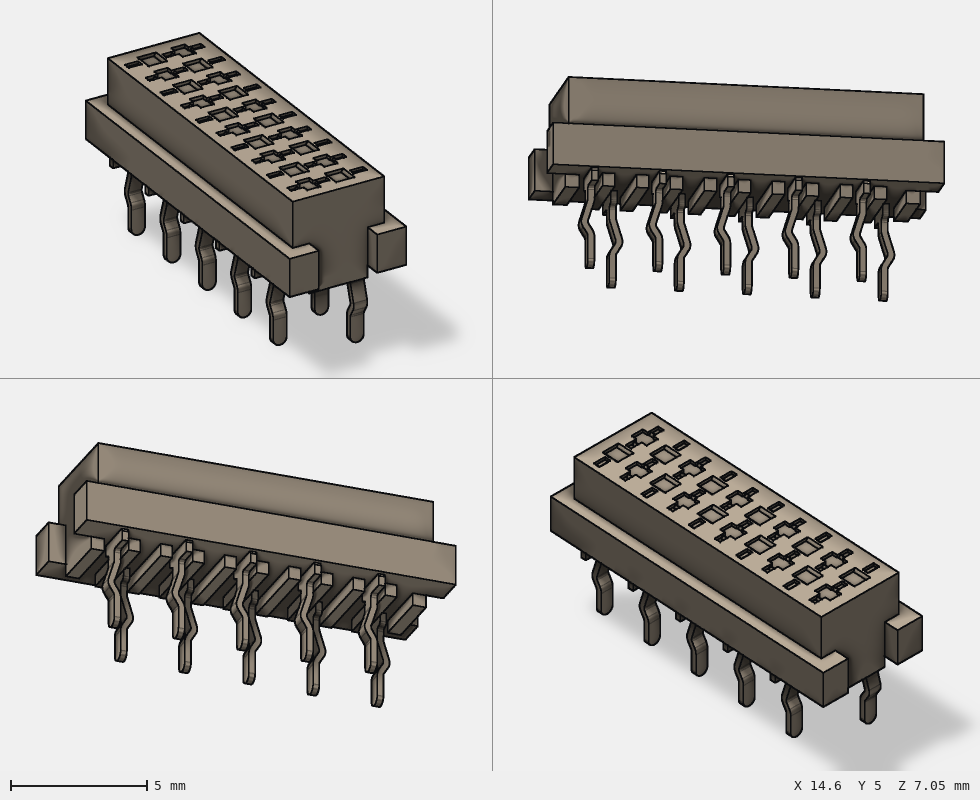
import cadquery as cq
import math

pitch = 1.27
pin_count = 10
row_y = pitch

flange_length = 14.62
flange_width = 5.0
flange_bottom = 0.49
flange_top = 2.08
body_length = 13.26
body_width = 3.92
body_top = 4.0
end_notch_width = 2.5

foot_thickness = 0.46
foot_width = 3.3
end_foot_thickness = 0.52

pin_thickness = 0.25
pin_width = 0.585
pin_tip = -3.05
bend_offset = 0.27
bend_start = -0.53
bend_peak = -1.40
bend_end = -1.83
bend_inner_radius = 0.15
bend_outer_radius = bend_inner_radius + pin_thickness
return_outer_radius = 0.5

arm_reach = 2.35
arm_end_taper = 0.05
arm_end_taper_height = 0.11
flare_radius = 0.13
shoulder_inner_y = 0.70
embed = 0.1

pocket_depth = 0.14
contact_side = 0.81
slot_width = 0.29
cross_inner_y, cross_outer_y = 0.46, 1.035
slot_inner_y, slot_outer_y = -0.08, 1.56
window_inner_y, window_outer_y = 0.20, 0.99
window_slope = 0.09
hole_inner_y, hole_outer_y = 1.12, 1.68
pad_gap = 0.045
pad_height = 0.06
ridge_length = 0.2
ridge_width = 0.24
ridge_height = 0.1
ridge_gap = 0.04


def block(x_min, x_max, y_min, y_max, z_min, z_max):
    size = (x_max - x_min, y_max - y_min, z_max - z_min)
    return cq.Workplane("XY").box(*size, centered=False).translate((x_min, y_min, z_min))


def centred_block(x_centre, x_size, y_min, y_max, z_min, z_max):
    return block(x_centre - x_size / 2, x_centre + x_size / 2, y_min, y_max, z_min, z_max)


def column_x(column):
    return (column - (pin_count - 1) / 2) * pitch


def make_housing():
    half_body = body_length / 2
    half_flange = flange_length / 2
    half_notch = end_notch_width / 2
    housing = centred_block(0, body_length, -body_width / 2, body_width / 2, flange_bottom, body_top)
    flange = centred_block(0, flange_length, -flange_width / 2, flange_width / 2, flange_bottom, flange_top)
    for x_min, x_max in ((-half_flange, -half_body), (half_body, half_flange)):
        flange = flange.cut(block(x_min, x_max, -half_notch, half_notch, flange_bottom, flange_top))
    housing = housing.union(flange)
    for gap in range(pin_count - 1):
        x = column_x(gap) + pitch / 2
        housing = housing.union(
            centred_block(x, foot_thickness, -foot_width / 2, foot_width / 2, 0, flange_bottom)
        )
    end_foot_x = (body_length - end_foot_thickness) / 2
    for x in (-end_foot_x, end_foot_x):
        housing = housing.union(
            centred_block(x, end_foot_thickness, -half_notch, half_notch, 0, flange_bottom)
        )
    return housing


def make_strip():
    """Bent strip of the pin, kinked towards -X, from the centre plane to the end of the arm in Y."""
    half = pin_thickness / 2
    slope_out = math.atan2(-bend_offset, bend_start - bend_peak)
    slope_back = math.atan2(bend_offset, bend_peak - bend_end)
    bends = [
        (0, bend_start, 0, slope_out, bend_outer_radius),
        (-bend_offset, bend_peak, slope_out, slope_back, bend_outer_radius),
        (0, bend_end, slope_back, 0, return_outer_radius),
    ]
    top = flange_bottom + embed
    sides = {-1: [], 1: []}
    fillets = []
    for x, z, angle_before, angle_after, outer_radius in bends:
        mean = (angle_before + angle_after) / 2
        reach = half / math.cos((angle_after - angle_before) / 2)
        for side in (-1, 1):
            corner = (x + side * reach * math.cos(mean), z + side * reach * math.sin(mean))
            sides[side].append(corner)
            is_inside = side * (angle_after - angle_before) > 0
            radius = bend_inner_radius if is_inside else outer_radius
            fillets.append((corner, radius))
    right = [(half, top)] + sides[1] + [(half, pin_tip)]
    left = [(-half, top)] + sides[-1] + [(-half, pin_tip)]
    strip = cq.Workplane("XZ").polyline(right + left[::-1]).close().extrude(-arm_reach)
    for (x, z), radius in fillets:
        corner_edge = cq.selectors.NearestToPointSelector((x, arm_reach / 2, z))
        strip = strip.edges("|Y").edges(corner_edge).fillet(radius)
    return strip


def make_pin():
    """Pin of the +Y row at X = 0, kinked towards -X."""
    inner = row_y - pin_width / 2
    outer = row_y + pin_width / 2
    top = flange_bottom + embed
    tip_radius = pin_width / 2
    flare_inner_y = inner - flare_radius
    shoulder_radius = flare_inner_y - shoulder_inner_y
    diagonal = math.sqrt(0.5)
    flare_mid = flare_radius * (1 - diagonal)
    shoulder_mid = shoulder_radius * (1 - diagonal)
    outline = (
        cq.Workplane("YZ")
        .moveTo(shoulder_inner_y, top)
        .lineTo(arm_reach - arm_end_taper, top)
        .lineTo(arm_reach - arm_end_taper, flange_bottom)
        .lineTo(arm_reach, flange_bottom - arm_end_taper_height)
        .lineTo(arm_reach, 0)
        .lineTo(outer + flare_radius, 0)
        .threePointArc((outer + flare_mid, -flare_mid), (outer, -flare_radius))
        .lineTo(outer, pin_tip + tip_radius)
        .threePointArc((row_y, pin_tip), (inner, pin_tip + tip_radius))
        .lineTo(inner, -flare_radius)
        .threePointArc((inner - flare_mid, -flare_mid), (flare_inner_y, 0))
        .threePointArc(
            (shoulder_inner_y + shoulder_mid, shoulder_mid), (shoulder_inner_y, shoulder_radius)
        )
        .close()
        .extrude(bend_offset + pin_thickness, both=True)
    )
    return make_strip().intersect(outline)


def cross_pocket(x):
    """Cross shaped contact opening, with a raised contact ridge in each slot arm."""
    floor = body_top - pocket_depth
    pocket = centred_block(x, contact_side, cross_inner_y, cross_outer_y, floor, body_top)
    pocket = pocket.union(centred_block(x, slot_width, slot_inner_y, slot_outer_y, floor, body_top))
    ridge_centres = (
        cross_outer_y + ridge_gap + ridge_length / 2,
        cross_inner_y - ridge_gap - ridge_length / 2,
    )
    for y in ridge_centres:
        ridge = (
            cq.Workplane("YZ", origin=(x - ridge_width / 2, y, floor))
            .polyline([(-ridge_length / 2, 0), (0, ridge_height), (ridge_length / 2, 0)])
            .close()
            .extrude(ridge_width)
        )
        pocket = pocket.cut(ridge)
    return pocket


def window_pocket(x):
    """Square opening whose two Y walls slope inwards."""
    floor = body_top - pocket_depth
    return (
        cq.Workplane("YZ", origin=(x - contact_side / 2, 0, 0))
        .polyline([
            (window_inner_y, body_top),
            (window_outer_y, body_top),
            (window_outer_y - window_slope, floor),
            (window_inner_y + window_slope, floor),
        ])
        .close()
        .extrude(contact_side)
    )


def hole_pocket(x):
    """Small rectangular opening around a slightly sunken contact pad."""
    floor = body_top - pocket_depth
    opening = centred_block(x, slot_width, hole_inner_y, hole_outer_y, floor, body_top)
    pad = centred_block(
        x,
        slot_width - 2 * pad_gap,
        hole_inner_y + pad_gap,
        hole_outer_y - pad_gap,
        floor,
        floor + pad_height,
    )
    return opening.cut(pad)


def make_connector():
    connector = make_housing()
    right_kinked_pin = make_pin().mirror("YZ")
    left_kinked_pin = make_pin().mirror("XZ")
    for column in range(pin_count):
        x = column_x(column)
        cross = cross_pocket(x)
        window = window_pocket(x).union(hole_pocket(x))
        if column % 2 == 0:
            connector = connector.cut(cross).cut(window.mirror("XZ"))
            pin = left_kinked_pin
        else:
            connector = connector.cut(cross.mirror("XZ")).cut(window)
            pin = right_kinked_pin
        connector = connector.union(pin.translate((x, 0, 0)))
    return connector


result = make_connector()